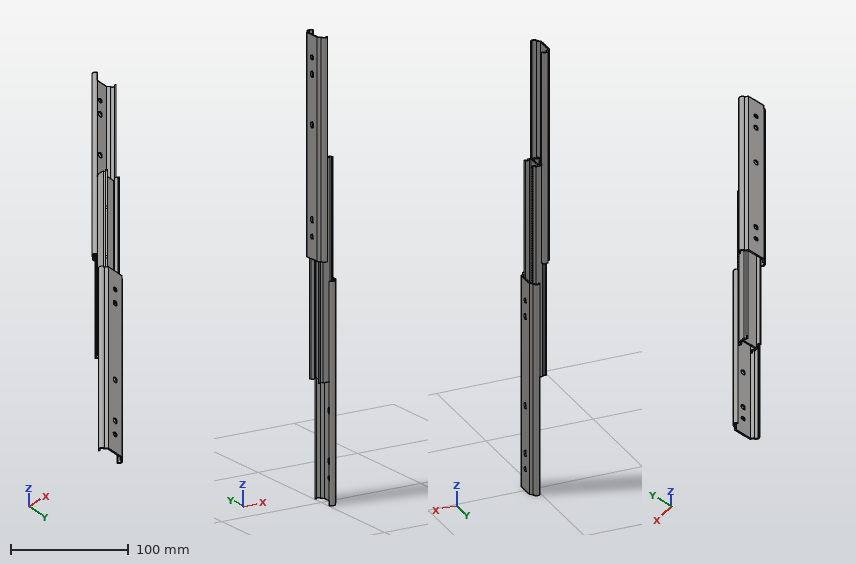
import cadquery as cq

total_length = 417.5
total_width = 19.0
total_depth = 27.0
rail_length = 199.5
sheet = 1.3

half_width = total_width / 2
half_depth = total_depth / 2
web_half_depth = 8.5
corner_run = 2.5
corner_rise = 2.0
race_lip_x = 1.0
race_lip_y = 11.3
race_crown_x = 3.8
corner_inset = 0.5
web_inset = 1.0

hole_diameter = 4.0
slot_length = 5.5
end_hole_offset = 20.0
end_slot_offset = 35.0
middle_slot_offset = 80.0

flange_half_width = 7.3
flange_top = 8.5
flange_flat_half_width = 3.5
groove_x = 4.4
groove_floor = 6.47
shoulder_x = 6.0
shoulder_y = 8.0
tip_y = 7.0
groove_wall = 0.5


def mirrored(points):
    """Continue a chain of points in reverse order on the other side of Y = 0."""
    return [(x, -y) for x, y in reversed(points)]


def outer_rail_section():
    """C section with its web on the -X side."""
    corner_x = -half_width + corner_run
    corner_y = web_half_depth + corner_rise
    web_edge = (-half_width, web_half_depth)
    corner = (corner_x, corner_y)
    crown = (-race_crown_x, half_depth)
    lip = (-race_lip_x, race_lip_y)
    inner_lip = (-race_lip_x - sheet, race_lip_y - corner_inset)
    inner_crown = (-race_crown_x, half_depth - sheet)
    inner_corner = (corner_x + sheet, corner_y - corner_inset)
    inner_web_edge = (-half_width + sheet, web_half_depth - web_inset)
    upper = [web_edge, corner, crown, lip, inner_lip, inner_crown, inner_corner, inner_web_edge]
    lower = mirrored(upper)
    return (
        cq.Workplane("XY")
        .moveTo(*upper[0])
        .lineTo(*upper[1])
        .threePointArc(upper[2], upper[3])
        .lineTo(*upper[4])
        .threePointArc(upper[5], upper[6])
        .lineTo(*upper[7])
        .lineTo(*lower[0])
        .lineTo(*lower[1])
        .threePointArc(lower[2], lower[3])
        .lineTo(*lower[4])
        .threePointArc(lower[5], lower[6])
        .lineTo(*lower[7])
        .close()
    )


def web_holes():
    """Round holes near both ends and upright slots, cut through the web of the upper rail."""
    top = total_length / 2
    bottom = top - rail_length
    round_heights = [top - end_hole_offset, bottom + end_hole_offset]
    slot_heights = [top - end_slot_offset, top - middle_slot_offset, bottom + end_slot_offset]
    plane = cq.Workplane("YZ", origin=(-half_width, 0, 0))
    rounds = (
        plane.pushPoints([(0, z) for z in round_heights])
        .circle(hole_diameter / 2)
        .extrude(sheet)
    )
    slots = (
        plane.pushPoints([(0, z) for z in slot_heights])
        .slot2D(slot_length, hole_diameter, 90)
        .extrude(sheet)
    )
    return rounds.add(slots).combine()


def outer_rail(turn):
    """Upper rail, turned about the Y axis; half a turn gives the lower rail."""
    rail_bottom = total_length / 2 - rail_length
    rail = outer_rail_section().extrude(rail_length).translate((0, 0, rail_bottom))
    return rail.cut(web_holes()).rotate((0, 0, 0), (0, 1, 0), turn)


def flange(side):
    """Flange on the +Y (side = 1) or -Y (side = -1) edge of the web, with two ball grooves."""
    upper = [
        (flange_flat_half_width, flange_top),
        (groove_x, groove_floor),
        (shoulder_x, shoulder_y),
        (flange_half_width, tip_y),
        (shoulder_x + groove_wall, groove_floor),
        (groove_x, groove_floor - sheet),
        (flange_flat_half_width - sheet, flange_top - sheet),
    ]
    right = [(x, side * y) for x, y in upper]
    left = [(-x, y) for x, y in reversed(right)]
    return (
        cq.Workplane("XY")
        .moveTo(*right[0])
        .threePointArc(right[1], right[2])
        .lineTo(*right[3])
        .lineTo(*right[4])
        .threePointArc(right[5], right[6])
        .lineTo(*left[0])
        .threePointArc(left[1], left[2])
        .lineTo(*left[3])
        .lineTo(*left[4])
        .threePointArc(left[5], left[6])
        .close()
        .extrude(rail_length / 2, both=True)
    )


def middle_rail():
    """I section sliding between the two outer rails."""
    web_depth = 2 * flange_top - sheet
    web = cq.Workplane("XY").box(sheet, web_depth, rail_length)
    return web.union(flange(1)).union(flange(-1))


outer_rails = [outer_rail(turn) for turn in (0, 180)]
center_rail = middle_rail()

result = cq.Compound.makeCompound([*(rail.val() for rail in outer_rails), center_rail.val()])